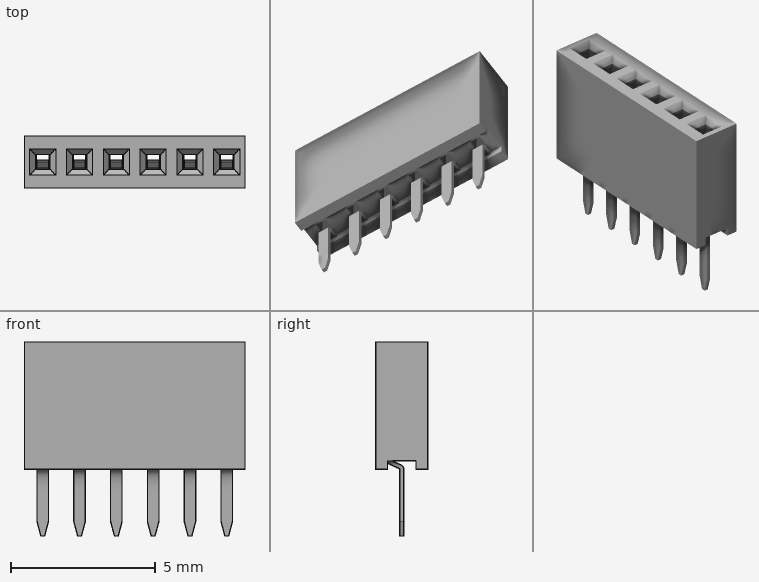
import cadquery as cq
import math

POSITIONS = 6
LENGTH = 7.62
WIDTH = 1.8
HOUSING_HEIGHT = 4.4
PITCH = LENGTH / POSITIONS

CHANNEL_WIDTH = 0.98
CHANNEL_DEPTH = 0.3

FUNNEL_MOUTH = 0.9
FUNNEL_DEPTH = 0.2
HOLE_SIZE = 0.5
SIDE_TAPER = 0.04
FRONT_TAPER = 0.045

TOTAL_HEIGHT = 6.7
PIN_WIDTH = 0.405
PIN_THICKNESS = 0.145
BEND_Z = 0.015
HEAD_SLOPE = math.radians(25)
TIP_LENGTH = 0.5
TIP_WIDTH = 0.14

pin_centres = [(i - (POSITIONS - 1) / 2) * PITCH for i in range(POSITIONS)]
hole_top_z = HOUSING_HEIGHT - FUNNEL_DEPTH
pin_bottom_z = HOUSING_HEIGHT - TOTAL_HEIGHT


def make_socket(x):
    """Cutter for one socket, from the top face down to the channel ceiling."""
    funnel = (
        cq.Workplane("XY", origin=(x, 0, HOUSING_HEIGHT))
        .rect(FUNNEL_MOUTH, FUNNEL_MOUTH)
        .workplane(offset=-FUNNEL_DEPTH)
        .rect(HOLE_SIZE, HOLE_SIZE)
        .loft(ruled=True)
    )
    hole = (
        cq.Workplane("XY", origin=(x, 0, hole_top_z))
        .rect(HOLE_SIZE, HOLE_SIZE)
        .workplane(offset=CHANNEL_DEPTH - hole_top_z)
        .center(0, FRONT_TAPER / 2)
        .rect(HOLE_SIZE - 2 * SIDE_TAPER, HOLE_SIZE - FRONT_TAPER)
        .loft(ruled=True)
    )
    return funnel.union(hole)


def make_housing():
    """Block with a channel along its underside and a row of sockets."""
    housing = cq.Workplane("XY").box(LENGTH, WIDTH, HOUSING_HEIGHT, centered=(True, True, False))
    channel = cq.Workplane("XY").box(LENGTH, CHANNEL_WIDTH, CHANNEL_DEPTH, centered=(True, True, False))
    housing = housing.cut(channel)
    for x in pin_centres:
        housing = housing.cut(make_socket(x))
    return housing


def make_pin_profile(x):
    """Bent strip whose head slopes forward to the ceiling and front wall of the channel."""
    front_y = -PIN_THICKNESS / 2
    back_y = PIN_THICKNESS / 2
    wall_y = -CHANNEL_WIDTH / 2

    def on_bend(angle):
        """Point on the outside of the bend, an arc about the sharp inside corner."""
        return (front_y + PIN_THICKNESS * math.cos(angle), BEND_Z + PIN_THICKNESS * math.sin(angle))

    bend_angle = math.pi / 2 - HEAD_SLOPE
    bend_end_y, bend_end_z = on_bend(bend_angle)
    ceiling_y = bend_end_y - (CHANNEL_DEPTH - bend_end_z) / math.tan(HEAD_SLOPE)
    wall_z = BEND_Z + (front_y - wall_y) * math.tan(HEAD_SLOPE)
    return (
        cq.Workplane("YZ", origin=(x - PIN_WIDTH / 2, 0, 0))
        .moveTo(front_y, pin_bottom_z)
        .lineTo(back_y, pin_bottom_z)
        .lineTo(back_y, BEND_Z)
        .threePointArc(on_bend(bend_angle / 2), (bend_end_y, bend_end_z))
        .lineTo(ceiling_y, CHANNEL_DEPTH)
        .lineTo(wall_y, CHANNEL_DEPTH)
        .lineTo(wall_y, wall_z)
        .lineTo(front_y, BEND_Z)
        .close()
        .extrude(PIN_WIDTH)
    )


def make_pin_outline(x):
    """Block with the pin's width, tapered at the bottom, to trim the bent strip."""
    half_width = PIN_WIDTH / 2
    half_tip = TIP_WIDTH / 2
    taper_top_z = pin_bottom_z + TIP_LENGTH
    return (
        cq.Workplane("XZ", origin=(x, 0, 0))
        .polyline([
            (-half_tip, pin_bottom_z),
            (half_tip, pin_bottom_z),
            (half_width, taper_top_z),
            (half_width, CHANNEL_DEPTH),
            (-half_width, CHANNEL_DEPTH),
            (-half_width, taper_top_z),
        ])
        .close()
        .extrude(WIDTH / 2, both=True)
    )


def make_pin(x):
    """One contact pin with a tapered tip."""
    return make_pin_profile(x).intersect(make_pin_outline(x))


housing = make_housing()
pins = [make_pin(x) for x in pin_centres]

result = cq.Compound.makeCompound([housing.val(), *[pin.val() for pin in pins]])